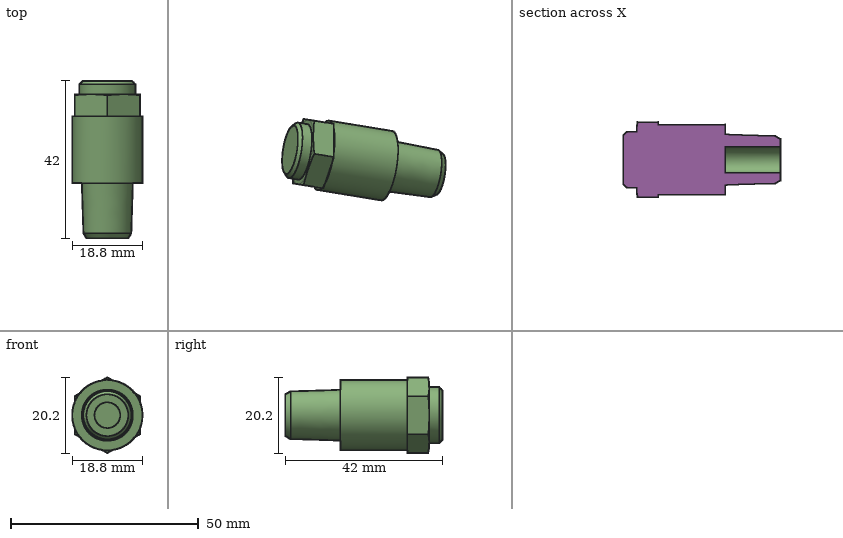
import cadquery as cq
import math

total_length = 42.0
nose_length = 14.75
body_length = 17.85
hex_length = 5.8
collar_length = total_length - nose_length - body_length - hex_length

nose_base_diameter = 13.67
nose_taper = 1 / 16
nose_chamfer_length = 1.45
nose_chamfer_depth = 0.85

bore_diameter = 6.86
bore_depth = nose_length

body_diameter = 18.8

hex_corner_diameter = 20.16
hex_chamfer_angle = 10.0
hex_sides = 6
hex_across_flats = hex_corner_diameter * math.cos(math.pi / hex_sides)

collar_diameter = 15.04
collar_chamfer = 0.95

body_start = nose_length
hex_start = body_start + body_length
collar_start = hex_start + hex_length


def revolve_about_y(points):
    """Turn a (radius, y) outline around the Y axis."""
    return cq.Workplane("XY").polyline(points).close().revolve(360, (0, 0, 0), (0, 1, 0))


def cylinder(diameter, start, length):
    """Round bar along +Y beginning at the given station."""
    plane = cq.Plane(origin=(0, start, 0), xDir=(1, 0, 0), normal=(0, 1, 0))
    return cq.Workplane(plane).circle(diameter / 2).extrude(length)


def make_nose():
    """Tapered spigot with a chamfered tip at Y = 0."""
    base_radius = nose_base_diameter / 2
    taper_length = nose_length - nose_chamfer_length
    front_radius = base_radius - taper_length * nose_taper / 2
    tip_radius = front_radius - nose_chamfer_depth
    return revolve_about_y([
        (0, 0),
        (tip_radius, 0),
        (front_radius, nose_chamfer_length),
        (base_radius, nose_length),
        (0, nose_length),
    ])


def make_hex():
    """Hexagon with two corners on the Z axis and a conical chamfer on its rear end."""
    plane = cq.Plane(origin=(0, hex_start, 0), xDir=(0, 0, 1), normal=(0, 1, 0))
    prism = cq.Workplane(plane).polygon(hex_sides, hex_corner_diameter).extrude(hex_length)
    rear_radius = hex_across_flats / 2
    corner_radius = hex_corner_diameter / 2
    chamfer_length = (corner_radius - rear_radius) * math.tan(math.radians(hex_chamfer_angle))
    envelope = revolve_about_y([
        (0, hex_start),
        (corner_radius, hex_start),
        (corner_radius, collar_start - chamfer_length),
        (rear_radius, collar_start),
        (0, collar_start),
    ])
    return prism.intersect(envelope)


def make_collar():
    """Round collar behind the hexagon, chamfered at the rear."""
    return cylinder(collar_diameter, collar_start, collar_length).faces(">Y").chamfer(collar_chamfer)


def make_bore():
    """Tool for the blind bore, entering at the nose tip."""
    return cylinder(bore_diameter, 0, bore_depth)


body = cylinder(body_diameter, body_start, body_length)
result = make_nose().union(body).union(make_hex()).union(make_collar()).cut(make_bore())